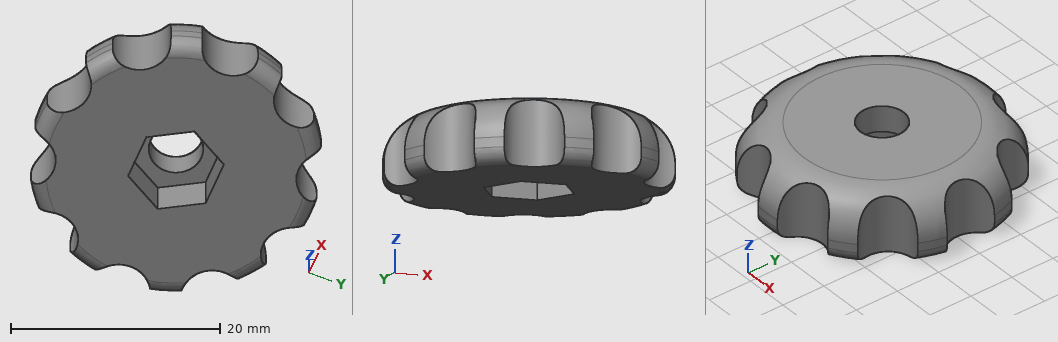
import cadquery as cq
import math

outer_diameter = 27.98
thickness = 7.0
crown_radius = 4.5
base_radius = 1.5

bore_diameter = 5.2
bore_depth = 3.0

hex_across_flats = 8.0
hex_across_corners = hex_across_flats / math.cos(math.pi / 6)
hex_pocket_depth = thickness - bore_depth

scallop_count = 10
scallop_radius = 3.0
scallop_floor_radius = 11.53
scallop_center_radius = scallop_floor_radius + scallop_radius


def rounded_disc():
    """Revolve the half section with its two rounded rim corners."""
    rim = outer_diameter / 2
    diagonal = math.sqrt(0.5)
    crown_x, crown_z = rim - crown_radius, thickness - crown_radius
    base_x, base_z = rim - base_radius, base_radius
    return (
        cq.Workplane("XZ")
        .lineTo(base_x, 0)
        .threePointArc(
            (base_x + base_radius * diagonal, base_z - base_radius * diagonal),
            (rim, base_z),
        )
        .lineTo(rim, crown_z)
        .threePointArc(
            (crown_x + crown_radius * diagonal, crown_z + crown_radius * diagonal),
            (crown_x, thickness),
        )
        .lineTo(0, thickness)
        .close()
        .revolve(360, (0, 0, 0), (0, 1, 0))
    )


def scallops():
    """Vertical cylinders spaced evenly around the rim, the first on +X."""
    return (
        cq.Workplane("XY")
        .polarArray(scallop_center_radius, 0, 360, scallop_count)
        .circle(scallop_radius)
        .extrude(thickness)
    )


def bore():
    """Cylinder through the full thickness on the axis."""
    return cq.Workplane("XY").circle(bore_diameter / 2).extrude(thickness)


def hex_pocket():
    """Hexagonal prism open at the bottom face, with two corners on the X axis."""
    return cq.Workplane("XY").polygon(6, hex_across_corners).extrude(hex_pocket_depth)


result = rounded_disc().cut(scallops()).cut(bore()).cut(hex_pocket())